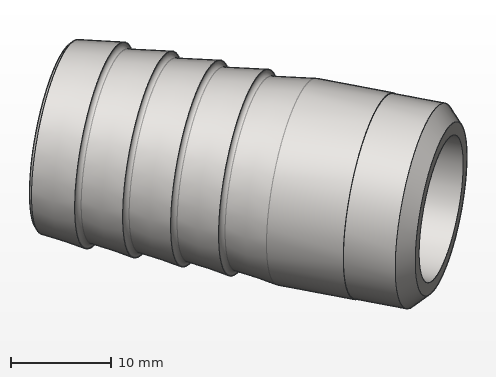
import cadquery as cq
import math

length = 40.0
barb_diameter = 21.0
spigot_diameter = 20.9
root_diameter = 19.8
bore_diameter = 15.0

barb_pitch = 5.0
barb_count = 4
barb_fillet = 0.1 * barb_pitch
nose_chamfer = 0.3
bore_chamfer = 0.3

collar_start = barb_pitch * (barb_count + 1)
collar_length = 8.0
collar_end = collar_start + collar_length
end_chamfer = 1.6

barb_radius = barb_diameter / 2
root_radius = root_diameter / 2
spigot_radius = spigot_diameter / 2
bore_radius = bore_diameter / 2

nose = [
    (bore_chamfer, bore_radius),
    (0, bore_radius + bore_chamfer),
    (0, root_radius - nose_chamfer),
    (nose_chamfer, root_radius),
]
collar = [
    (collar_start, barb_radius),
    (collar_end, barb_radius),
]
spigot = [
    (collar_end, spigot_radius),
    (length - end_chamfer, spigot_radius),
    (length, spigot_radius - end_chamfer),
    (length, bore_radius),
]


def add_barb(outline, tip_x):
    """Add the cone up to a barb tip, then its square back with a filleted foot."""
    center_x = tip_x + barb_fillet
    center_radius = root_radius + barb_fillet
    arc_offset = barb_fillet * math.sqrt(0.5)
    arc_middle = (center_x - arc_offset, center_radius - arc_offset)
    outline = outline.lineTo(tip_x, barb_radius).lineTo(tip_x, center_radius)
    return outline.threePointArc(arc_middle, (center_x, root_radius))

section = cq.Workplane("XY").polyline(nose)
for barb in range(1, barb_count + 1):
    section = add_barb(section, barb * barb_pitch)
section = section.polyline(collar + spigot, includeCurrent=True).close()

result = section.revolve(360, (0, 0, 0), (1, 0, 0))